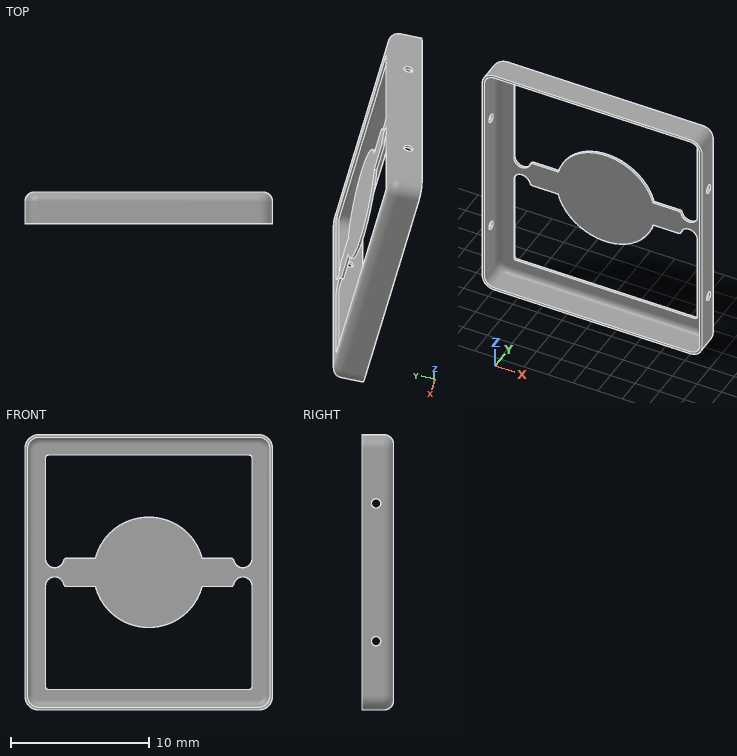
import cadquery as cq
import math

width = 17.9
depth = 2.3
height = 19.9
wall = 0.2
corner_radius = 1.0
floor_edge_radius = 0.7

opening_margin = 1.5
opening_corner_radius = 0.2
disc_radius = 4.0
arm_half_height = 1.03
notch_radius = 0.65
neck_half_height = 0.34
arm_corner_radius = 0.24

hole_diameter = 0.65
hole_from_rim = 1.03
hole_spacing = 9.95


def rounded_tray_block(inset):
    """Block inset from the outer faces, running from the open rim to the floor."""
    block = (
        cq.Workplane("XZ")
        .rect(width - 2 * inset, height - 2 * inset)
        .extrude(-(depth - inset))
    )
    block = block.edges("|Y").fillet(corner_radius - inset)
    return block.faces(">Y").edges().fillet(floor_edge_radius - inset)


def upper_window():
    """Cutter for the opening above the arms and disc."""
    half_width = width / 2 - opening_margin
    top = height / 2 - opening_margin
    notch_x = half_width - notch_radius
    notch_z = neck_half_height + notch_radius

    arc_z = arm_half_height - arm_corner_radius
    center_distance = notch_radius + arm_corner_radius
    arc_x = notch_x - math.sqrt(center_distance**2 - (arc_z - notch_z) ** 2)
    blend = notch_radius / center_distance
    blend_x = notch_x + blend * (arc_x - notch_x)
    blend_z = notch_z + blend * (arc_z - notch_z)

    blend_angle = math.atan2(blend_z - arc_z, blend_x - arc_x)
    middle_angle = (math.pi / 2 + blend_angle) / 2
    middle_x = arc_x + arm_corner_radius * math.cos(middle_angle)
    middle_z = arc_z + arm_corner_radius * math.sin(middle_angle)

    disc_x = math.sqrt(disc_radius**2 - arm_half_height**2)
    window = (
        cq.Workplane("XZ")
        .moveTo(-half_width, top)
        .lineTo(-half_width, notch_z)
        .threePointArc((-notch_x, neck_half_height), (-blend_x, blend_z))
        .threePointArc((-middle_x, middle_z), (-arc_x, arm_half_height))
        .lineTo(-disc_x, arm_half_height)
        .threePointArc((0, disc_radius), (disc_x, arm_half_height))
        .lineTo(arc_x, arm_half_height)
        .threePointArc((middle_x, middle_z), (blend_x, blend_z))
        .threePointArc((notch_x, neck_half_height), (half_width, notch_z))
        .lineTo(half_width, top)
        .close()
        .extrude(-depth)
    )
    return window.edges("|Y and >Z").fillet(opening_corner_radius)


def side_holes():
    """Two cross holes passing through both side walls."""
    return (
        cq.Workplane("YZ", origin=(-width / 2, 0, 0))
        .pushPoints([(hole_from_rim, side * hole_spacing / 2) for side in (-1, 1)])
        .circle(hole_diameter / 2)
        .extrude(width)
    )


tray = rounded_tray_block(0).cut(rounded_tray_block(wall))
window = upper_window()
result = tray.cut(window).cut(window.mirror("XY")).cut(side_holes())